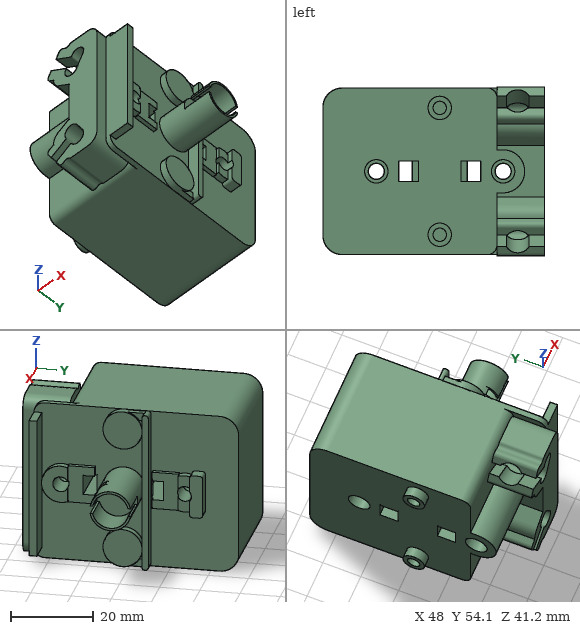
import cadquery as cq
import math


BODY_LENGTH = 28.83
BODY_HALF_HEIGHT = 20.32
BODY_Y_MAX = 28.5
OVERALL_WIDTH = 54.08
BODY_Y_MIN = -13.95
BODY_BACK_RADIUS = 4.76
BODY_FRONT_RADIUS = 2.4

PLATE_X_MIN = 27.35
PLATE_Y_MIN = -22.45
PLATE_RADIUS = 2.6
FLANGE_X_MAX = 34.7
FLANGE_THICKNESS = 1.95
FLANGE_HALF_HEIGHT = BODY_HALF_HEIGHT - PLATE_RADIUS

PATTERN_RADIUS = 15.45
STUD_RADIUS = 2.85
STUD_HEIGHT = 2.57
STUD_HOLE_RADIUS = 1.63
STUD_HOLE_DEPTH = 6.0
BOLT_HOLE_RADIUS = 1.93
COUNTERBORE_RADIUS = 2.85
COUNTERBORE_DEPTH = 24.0
BARREL_RADIUS = 5.25

WINDOW_Y_INNER = 5.2
WINDOW_LEDGE_Y = 6.75
WINDOW_Y_OUTER = 9.97
WINDOW_HALF_HEIGHT = 2.47
WINDOW_POCKET_DEPTH = 27.0

SIDE_BOSS_RADIUS = 4.75
SIDE_BOSS_HEIGHT = 1.82
SIDE_BOSS_Y_INNER = 13.75
POLE_BOSS_RADIUS = 4.87
POLE_BOSS_HEIGHT = 1.97
PAD_Y_INNER = 7.2
PAD_HEIGHT = 1.1
WALL_HEIGHT = 3.27
WALL_Y = 5.87
WALL_THICKNESS = 1.62
BRIDGE_Y_MIN = 1.06
BRIDGE_Y_MAX = 5.65
BRIDGE_HEIGHT = 1.45
BRIDGE_THICKNESS = 2.0
BRIDGE_INSET = 0.15
LUG_Y_MIN = 16.9
LUG_Y_MAX = 20.2
LUG_RADIUS = 0.8
LUG_HALF_HEIGHT = 5.5

SHAFT_END_X = 45.44
SHAFT_RADIUS = 5.11
SHAFT_BORE_RADIUS = 4.5
SHAFT_SLOT_X_MIN = 37.2
SHAFT_SLOT_HALF_HEIGHT = 1.03
NOTCH_LENGTH = 2.05
NOTCH_Z_MAX = 4.45

CLAMP_X_MID = 17.89
CLAMP_Y_MIN = BODY_Y_MAX - OVERALL_WIDTH
CLAMP_HALF_HEIGHT = 20.575
CLAMP_CORNER_RADIUS = 3.1
CLAMP_SLOT_ANGLE = math.radians(30)
CLAMP_SLOT_CENTER = (19.68, 12.91)
MOUTH_U = 8.08
STEM_HALF_WIDTH = 1.63
LOBE_RADIUS = 2.1
LOBE_BLEND_RADIUS = 0.3
STEM_OVERSHOOT = 3.0
JAW_OUTER_V = -4.7
JAW_TIP_RADIUS = 1.15
NECK_OUTER_V = -6.67
NECK_RADIUS = 3.45
NECK_CENTER_U = 2.23
CLAMP_BORE_Y = -18.99
CLAMP_BORE_RADIUS = 3.1
CLAMP_BORE_V = 0.2


def box(x_range, y_range, z_range):
    """Box spanning the given (min, max) ranges."""
    sizes = [high - low for low, high in (x_range, y_range, z_range)]
    corner = (x_range[0], y_range[0], z_range[0])
    return cq.Workplane("XY").box(*sizes, centered=False).translate(corner)


def rod(x_min, x_max, radius, y=0.0, z=0.0):
    """Cylinder parallel to X."""
    return cq.Workplane("YZ", origin=(x_min, y, z)).circle(radius).extrude(x_max - x_min)


def clamp_point(u, v):
    """Point (X, Z) from clamp slot coordinates: u runs out of the mouth, v across the slot."""
    x = CLAMP_SLOT_CENTER[0] - u * math.cos(CLAMP_SLOT_ANGLE) + v * math.sin(CLAMP_SLOT_ANGLE)
    z = CLAMP_SLOT_CENTER[1] + u * math.sin(CLAMP_SLOT_ANGLE) + v * math.cos(CLAMP_SLOT_ANGLE)
    return (x, z)


def make_housing():
    z_range = (-BODY_HALF_HEIGHT, BODY_HALF_HEIGHT)
    body = box((0, BODY_LENGTH), (BODY_Y_MIN, BODY_Y_MAX), z_range)
    body = body.edges("|X and >Y").fillet(BODY_BACK_RADIUS)
    body = body.edges("|X and <Y").fillet(BODY_FRONT_RADIUS)
    plate = box((PLATE_X_MIN, BODY_LENGTH), (PLATE_Y_MIN, 0), z_range)
    plate = plate.edges("|X and <Y").fillet(PLATE_RADIUS)
    flange = box(
        (PLATE_X_MIN, FLANGE_X_MAX),
        (PLATE_Y_MIN, PLATE_Y_MIN + FLANGE_THICKNESS),
        (-FLANGE_HALF_HEIGHT, FLANGE_HALF_HEIGHT),
    )
    return body.union(plate).union(flange)


def make_barrel():
    """Round-nosed rib that carries the bolt hole beside the housing."""
    web = box((0, PLATE_X_MIN), (-PATTERN_RADIUS, 0), (-BARREL_RADIUS, BARREL_RADIUS))
    return web.union(rod(0, PLATE_X_MIN, BARREL_RADIUS, y=-PATTERN_RADIUS))


def make_clamp_slot():
    """T-shaped slot: two round lobes joined by a flat floor, and a stem that opens at the mouth."""
    depth = BODY_Y_MIN - CLAMP_Y_MIN
    stem_u = MOUTH_U + STEM_OVERSHOOT
    plane = cq.Workplane("XZ", origin=(0, BODY_Y_MIN, 0))
    lobe_centers = [clamp_point(0, -LOBE_RADIUS), clamp_point(0, LOBE_RADIUS)]
    lobes = plane.pushPoints(lobe_centers).circle(LOBE_RADIUS).extrude(depth)
    web_corners = [
        clamp_point(-LOBE_RADIUS, LOBE_RADIUS),
        clamp_point(0, LOBE_RADIUS),
        clamp_point(0, -LOBE_RADIUS),
        clamp_point(-LOBE_RADIUS, -LOBE_RADIUS),
    ]
    web = plane.polyline(web_corners).close().extrude(depth)
    stem_corners = [
        clamp_point(0, STEM_HALF_WIDTH),
        clamp_point(stem_u, STEM_HALF_WIDTH),
        clamp_point(stem_u, -STEM_HALF_WIDTH),
        clamp_point(0, -STEM_HALF_WIDTH),
    ]
    slot = lobes.union(web).union(plane.polyline(stem_corners).close().extrude(depth))

    shoulder_u = math.sqrt(LOBE_RADIUS**2 - (LOBE_RADIUS - STEM_HALF_WIDTH) ** 2)
    for side in (-1, 1):
        x, z = clamp_point(shoulder_u, side * STEM_HALF_WIDTH)
        shoulder = cq.selectors.NearestToPointSelector((x, BODY_Y_MIN - depth / 2, z))
        slot = slot.edges(shoulder).fillet(LOBE_BLEND_RADIUS)
    return slot


def make_clamp_bore():
    """Round bore along the slot stem, from outside the mouth to the lobes."""
    x, z = clamp_point(0, CLAMP_BORE_V)
    direction = cq.Vector(-math.cos(CLAMP_SLOT_ANGLE), 0, math.sin(CLAMP_SLOT_ANGLE))
    start = cq.Vector(x, CLAMP_BORE_Y, z)
    length = 2 * MOUTH_U
    return cq.Workplane(cq.Solid.makeCylinder(CLAMP_BORE_RADIUS, length, start, direction))


def make_clamp_half():
    """Upper half of the clamp bracket, from Z = 0 to its top."""
    top = CLAMP_HALF_HEIGHT
    right = PLATE_X_MIN
    corner_inset = CLAMP_CORNER_RADIUS * (1 - math.sqrt(0.5))

    tip_start = (14.4, 20.1)
    tip_mid = (15.35, 20.565)
    tip_end = (16.07, 20.35)
    dip_start = (16.44, 20.12)
    dip_mid = (17.15, 19.93)
    dip_end = (17.9, 20.2)
    dip_blend_mid = (18.3, 20.48)
    flat_start_x = 18.77

    neck_center_v = NECK_OUTER_V + NECK_RADIUS
    neck_start_angle = math.asin((neck_center_v - JAW_OUTER_V) / NECK_RADIUS)
    neck_mid_angle = (neck_start_angle + math.pi / 2) / 2
    neck_start_u = NECK_CENTER_U + NECK_RADIUS * math.cos(neck_start_angle)
    neck_mid = clamp_point(
        NECK_CENTER_U + NECK_RADIUS * math.cos(neck_mid_angle),
        neck_center_v - NECK_RADIUS * math.sin(neck_mid_angle),
    )
    tip_inset = JAW_TIP_RADIUS * (1 - math.sqrt(0.5))
    neck_foot_z = CLAMP_SLOT_CENTER[1] + (
        NECK_OUTER_V - (CLAMP_X_MID - CLAMP_SLOT_CENTER[0]) * math.sin(CLAMP_SLOT_ANGLE)
    ) / math.cos(CLAMP_SLOT_ANGLE)

    half = (
        cq.Workplane("XZ", origin=(0, BODY_Y_MIN, 0))
        .moveTo(CLAMP_X_MID, 0)
        .lineTo(right, 0)
        .lineTo(right, top - CLAMP_CORNER_RADIUS)
        .threePointArc((right - corner_inset, top - corner_inset), (right - CLAMP_CORNER_RADIUS, top))
        .lineTo(flat_start_x, top)
        .threePointArc(dip_blend_mid, dip_end)
        .threePointArc(dip_mid, dip_start)
        .lineTo(*tip_end)
        .threePointArc(tip_mid, tip_start)
        .lineTo(*clamp_point(MOUTH_U, STEM_HALF_WIDTH))
        .lineTo(*clamp_point(MOUTH_U, JAW_OUTER_V + JAW_TIP_RADIUS))
        .threePointArc(
            clamp_point(MOUTH_U - tip_inset, JAW_OUTER_V + tip_inset),
            clamp_point(MOUTH_U - JAW_TIP_RADIUS, JAW_OUTER_V),
        )
        .lineTo(*clamp_point(neck_start_u, JAW_OUTER_V))
        .threePointArc(neck_mid, clamp_point(NECK_CENTER_U, NECK_OUTER_V))
        .lineTo(CLAMP_X_MID, neck_foot_z)
        .close()
        .extrude(BODY_Y_MIN - CLAMP_Y_MIN)
    )
    return half.cut(make_clamp_slot()).cut(make_clamp_bore())


def make_clamp():
    half = make_clamp_half()
    return half.union(half.mirror("XY"))


def make_shaft():
    shaft = rod(BODY_LENGTH, SHAFT_END_X, SHAFT_RADIUS)
    bore = rod(SHAFT_SLOT_X_MIN, SHAFT_END_X, SHAFT_BORE_RADIUS)
    slot = box(
        (SHAFT_SLOT_X_MIN, SHAFT_END_X),
        (-SHAFT_RADIUS, SHAFT_RADIUS),
        (-SHAFT_SLOT_HALF_HEIGHT, SHAFT_SLOT_HALF_HEIGHT),
    )
    notch = box((SHAFT_SLOT_X_MIN, SHAFT_SLOT_X_MIN + NOTCH_LENGTH), (-SHAFT_RADIUS, 0), (0, NOTCH_Z_MAX))
    return shaft.cut(bore).cut(slot).cut(notch)


def make_face_details():
    """Bosses, pads, cross wall and lug standing on the +X face."""
    face = BODY_LENGTH
    wall_end_radius = WALL_THICKNESS / 2
    wall_end_z = BODY_HALF_HEIGHT - wall_end_radius
    details = box(
        (face, face + WALL_HEIGHT),
        (WALL_Y - wall_end_radius, WALL_Y + wall_end_radius),
        (-wall_end_z, wall_end_z),
    )
    for z in (-wall_end_z, wall_end_z):
        details = details.union(rod(face, face + WALL_HEIGHT, wall_end_radius, y=WALL_Y, z=z))

    lug_z = (-LUG_HALF_HEIGHT, LUG_HALF_HEIGHT)
    lug = box((face, face + WALL_HEIGHT), (LUG_Y_MIN, LUG_Y_MAX), lug_z)
    details = details.union(lug.edges("|X").fillet(LUG_RADIUS))

    for side in (-1, 1):
        pole_z = side * PATTERN_RADIUS
        details = details.union(rod(face, face + POLE_BOSS_HEIGHT, POLE_BOSS_RADIUS, z=pole_z))
        bridge_top = BODY_HALF_HEIGHT - BRIDGE_INSET
        bridge_z = sorted((side * (bridge_top - BRIDGE_THICKNESS), side * bridge_top))
        bridge = box((face, face + BRIDGE_HEIGHT), (BRIDGE_Y_MIN, BRIDGE_Y_MAX), bridge_z)
        details = details.union(bridge)

        boss = rod(face, face + SIDE_BOSS_HEIGHT, SIDE_BOSS_RADIUS, y=side * PATTERN_RADIUS)
        pad_y = sorted((side * PAD_Y_INNER, side * SIDE_BOSS_Y_INNER))
        pad_z = (-SIDE_BOSS_RADIUS, SIDE_BOSS_RADIUS)
        boss = boss.cut(box((face, face + SIDE_BOSS_HEIGHT), pad_y, pad_z))
        pad = box((face, face + PAD_HEIGHT), pad_y, pad_z)
        details = details.union(boss).union(pad)
    return details


def add_studs(part):
    for z in (-PATTERN_RADIUS, PATTERN_RADIUS):
        part = part.union(rod(-STUD_HEIGHT, 0, STUD_RADIUS, z=z))
        part = part.cut(rod(-STUD_HEIGHT, STUD_HOLE_DEPTH - STUD_HEIGHT, STUD_HOLE_RADIUS, z=z))
    return part


def cut_bolt_holes(part):
    for y in (-PATTERN_RADIUS, PATTERN_RADIUS):
        part = part.cut(rod(0, FLANGE_X_MAX, BOLT_HOLE_RADIUS, y=y))
        part = part.cut(rod(0, COUNTERBORE_DEPTH, COUNTERBORE_RADIUS, y=y))
    return part


def cut_windows(part):
    """Two square windows, each with a ledge near the +X face on its inner side."""
    z_range = (-WINDOW_HALF_HEIGHT, WINDOW_HALF_HEIGHT)
    for side in (-1, 1):
        pocket_y = sorted((side * WINDOW_Y_INNER, side * WINDOW_Y_OUTER))
        opening_y = sorted((side * WINDOW_LEDGE_Y, side * WINDOW_Y_OUTER))
        part = part.cut(box((0, WINDOW_POCKET_DEPTH), pocket_y, z_range))
        part = part.cut(box((0, FLANGE_X_MAX), opening_y, z_range))
    return part


result = make_housing().union(make_barrel()).union(make_clamp())
result = result.union(make_face_details()).union(make_shaft())
result = cut_windows(cut_bolt_holes(add_studs(result)))